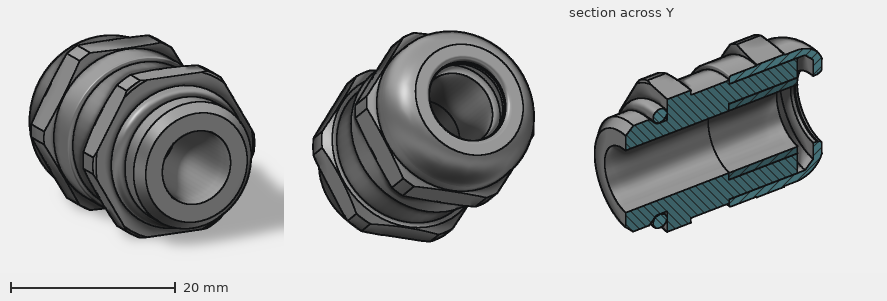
import cadquery as cq
import math


TOTAL_LENGTH = 28.55
ACROSS_FLATS = 20.0
BORE_DIA = 9.28

NUT_DIA = 19.8
NUT_CORNER_DIA = 22.2
NUT_LENGTH = 13.5
NUT_HEX_START = 5.48
NUT_HEX_END = 9.55
NUT_HEX_FACE_DIA = 19.9
NUT_HEX_CHAMFER = 0.29
NUT_END_ROUND = 0.29
DOME_RADIUS = 4.0
DOME_FACE_DIA = 14.28
MOUTH_ROUND = 0.6
MOUTH_DIA = 10.2
LIP_DIA = 10.0
LIP_START = 0.8
LIP_END = 1.3
CAVITY_FRONT_DIA = 14.85

STUD_DIA = 17.25
STUD_START = 3.57
INSERT_DIA = 11.3

BARREL_DIA = 18.6
BODY_HEX_START = 19.02
BODY_HEX_END = 22.53
BODY_CORNER_DIA = 21.95
BODY_HEX_FRONT_DIA = 19.8
BODY_HEX_FRONT_CHAMFER = 0.65
BODY_HEX_REAR_CHAMFER = 0.17
BODY_HEX_REAR_DIA = 21.3
THREAD_DIA = 16.0
THREAD_START = 25.1
THREAD_END_DIA = 13.8

RING_OUTER_DIA = 17.94
RING_INNER_DIA = 13.8
RING_SECTION_RADIUS = (RING_OUTER_DIA - RING_INNER_DIA) / 4
RING_CENTRE_RADIUS = (RING_OUTER_DIA + RING_INNER_DIA) / 4


def revolve_about_x(profile):
    """Turn a closed profile, drawn as (x, radius), about the X axis."""
    return profile.close().revolve(360, (0, 0, 0), (1, 0, 0))


def cylinder(diameter, start, end):
    """Solid cylinder along X between two x positions."""
    return cq.Workplane("YZ", origin=(start, 0, 0)).circle(diameter / 2).extrude(end - start)


def chamfered_hexagon(start, end, corner_dia, front_dia, front_chamfer, rear_dia, rear_chamfer):
    """Hexagon along X, corners toward +Y and -Y, trimmed by a cylinder with a cone at each end."""
    circumscribed_dia = ACROSS_FLATS / math.cos(math.pi / 6)
    prism = cq.Workplane("YZ", origin=(start, 0, 0)).polygon(6, circumscribed_dia).extrude(end - start)
    envelope = revolve_about_x(
        cq.Workplane("XY")
        .moveTo(start, 0)
        .lineTo(start, front_dia / 2)
        .lineTo(start + front_chamfer, corner_dia / 2)
        .lineTo(end - rear_chamfer, corner_dia / 2)
        .lineTo(end, rear_dia / 2)
        .lineTo(end, 0)
    )
    return prism.intersect(envelope)


def make_nut_shell():
    """Domed cap and rear collar of the nut, without its hexagon or any opening."""
    radius = NUT_DIA / 2
    face_radius = DOME_FACE_DIA / 2
    arc_centre_radius = radius - DOME_RADIUS
    dome_end = math.sqrt(DOME_RADIUS**2 - (face_radius - arc_centre_radius) ** 2)
    face_angle = math.acos((face_radius - arc_centre_radius) / DOME_RADIUS)
    middle_x = dome_end - DOME_RADIUS * math.sin(face_angle / 2)
    middle_radius = arc_centre_radius + DOME_RADIUS * math.cos(face_angle / 2)
    shell = revolve_about_x(
        cq.Workplane("XY")
        .moveTo(0, 0)
        .lineTo(0, face_radius)
        .threePointArc((middle_x, middle_radius), (dome_end, radius))
        .lineTo(NUT_LENGTH, radius)
        .lineTo(NUT_LENGTH, 0)
    )
    return shell.faces(">X").edges().fillet(NUT_END_ROUND)


def make_nut_opening():
    """Rounded mouth, narrow lip, and the cavity that fits over the stud."""
    mouth_radius = MOUTH_DIA / 2
    cavity_front_radius = CAVITY_FRONT_DIA / 2
    stud_radius = STUD_DIA / 2
    cavity_cone_end = LIP_END + stud_radius - cavity_front_radius
    return revolve_about_x(
        cq.Workplane("XY")
        .moveTo(0, 0)
        .lineTo(0, mouth_radius + MOUTH_ROUND)
        .radiusArc((MOUTH_ROUND, mouth_radius), -MOUTH_ROUND)
        .lineTo(LIP_START, LIP_DIA / 2)
        .lineTo(LIP_END, LIP_DIA / 2)
        .lineTo(LIP_END, cavity_front_radius)
        .lineTo(cavity_cone_end, stud_radius)
        .lineTo(NUT_LENGTH, stud_radius)
        .lineTo(NUT_LENGTH, 0)
    )


def make_cap_nut():
    hexagon = chamfered_hexagon(
        NUT_HEX_START,
        NUT_HEX_END,
        NUT_CORNER_DIA,
        NUT_HEX_FACE_DIA,
        NUT_HEX_CHAMFER,
        NUT_HEX_FACE_DIA,
        NUT_HEX_CHAMFER,
    )
    return make_nut_shell().union(hexagon).cut(make_nut_opening())


def make_thread_end():
    """Ring groove and connection thread, with a 45 degree cone at each end of the thread."""
    groove_cone = (THREAD_DIA - RING_INNER_DIA) / 2
    end_chamfer = (THREAD_DIA - THREAD_END_DIA) / 2
    groove_radius = RING_INNER_DIA / 2
    return revolve_about_x(
        cq.Workplane("XY")
        .moveTo(BODY_HEX_END, 0)
        .lineTo(BODY_HEX_END, groove_radius)
        .lineTo(THREAD_START - groove_cone, groove_radius)
        .lineTo(THREAD_START, THREAD_DIA / 2)
        .lineTo(TOTAL_LENGTH - end_chamfer, THREAD_DIA / 2)
        .lineTo(TOTAL_LENGTH, THREAD_END_DIA / 2)
        .lineTo(TOTAL_LENGTH, 0)
    )


def make_body():
    stud = cylinder(STUD_DIA, STUD_START, NUT_LENGTH)
    barrel = cylinder(BARREL_DIA, NUT_LENGTH, BODY_HEX_START)
    hexagon = chamfered_hexagon(
        BODY_HEX_START,
        BODY_HEX_END,
        BODY_CORNER_DIA,
        BODY_HEX_FRONT_DIA,
        BODY_HEX_FRONT_CHAMFER,
        BODY_HEX_REAR_DIA,
        BODY_HEX_REAR_CHAMFER,
    )
    insert_pocket = cylinder(INSERT_DIA, STUD_START, NUT_LENGTH)
    bore = cylinder(BORE_DIA, STUD_START, TOTAL_LENGTH)
    return stud.union(barrel).union(hexagon).union(make_thread_end()).cut(insert_pocket).cut(bore)


def make_seal_insert():
    """Sleeve that fills the pocket in the stud, flush with the stud's front face."""
    sleeve = cylinder(INSERT_DIA, STUD_START, NUT_LENGTH)
    return sleeve.cut(cylinder(BORE_DIA, STUD_START, NUT_LENGTH))


def make_o_ring():
    ring_x = BODY_HEX_END + RING_SECTION_RADIUS
    section_plane = cq.Plane(origin=(ring_x, RING_CENTRE_RADIUS, 0), xDir=(0, -1, 0), normal=(0, 0, 1))
    section = cq.Workplane(section_plane).circle(RING_SECTION_RADIUS)
    return section.revolve(360, (RING_CENTRE_RADIUS, 0, 0), (RING_CENTRE_RADIUS, 1, 0))


cap_nut = make_cap_nut()
body = make_body()
seal_insert = make_seal_insert()
o_ring = make_o_ring()

result = cq.Compound.makeCompound([cap_nut.val(), body.val(), seal_insert.val(), o_ring.val()])